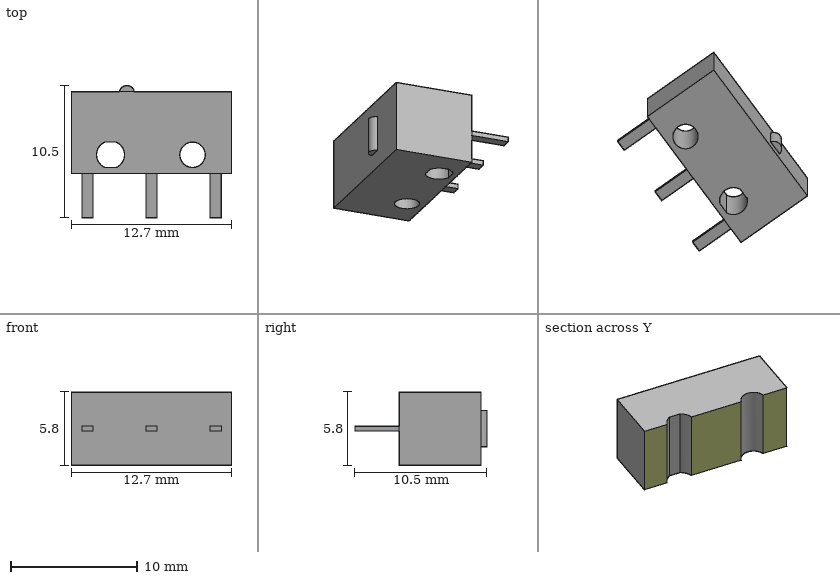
import cadquery as cq

housing_length = 12.7
housing_depth = 6.5
housing_height = 5.8

hole_diameter = 2.0
wide_hole_diameter = 2.2
hole_pitch = 6.5
hole_middle_x = 0.0
hole_y = 1.5

terminal_count = 3
terminal_pitch = 5.08
terminal_width = 0.9
terminal_thickness = 0.4
terminal_length = 3.5

plunger_x = -1.95
plunger_width = 1.2
plunger_rise = 0.5
plunger_height = 2.9


def make_round_hole():
    return cq.Workplane("XY").circle(hole_diameter / 2).extrude(housing_height / 2, both=True)


def make_wide_hole():
    """Round hole cut off by two flats parallel to X."""
    round_part = cq.Workplane("XY").circle(wide_hole_diameter / 2).extrude(housing_height / 2, both=True)
    flats = cq.Workplane("XY").box(wide_hole_diameter, hole_diameter, housing_height)
    return round_part.intersect(flats)


def make_housing():
    block = cq.Workplane("XY").box(
        housing_length, housing_depth, housing_height, centered=(True, False, True)
    )
    wide_hole = make_wide_hole().translate((hole_middle_x - hole_pitch / 2, hole_y, 0))
    round_hole = make_round_hole().translate((hole_middle_x + hole_pitch / 2, hole_y, 0))
    return block.cut(wide_hole).cut(round_hole)


def make_terminal(x):
    """Flat terminal standing out of the Y = 0 face."""
    return (
        cq.Workplane("XY")
        .box(terminal_width, terminal_length, terminal_thickness)
        .translate((x, -terminal_length / 2, 0))
    )


def make_plunger():
    """Circular segment resting on the face opposite the terminals."""
    return (
        cq.Workplane("XY")
        .moveTo(plunger_x - plunger_width / 2, housing_depth)
        .threePointArc(
            (plunger_x, housing_depth + plunger_rise),
            (plunger_x + plunger_width / 2, housing_depth),
        )
        .close()
        .extrude(plunger_height / 2, both=True)
    )


housing = make_housing()
plunger = make_plunger()

first_terminal_x = -terminal_pitch * (terminal_count - 1) / 2
terminals = []
for index in range(terminal_count):
    terminal = make_terminal(first_terminal_x + index * terminal_pitch)
    terminals.append(terminal.val())

result = cq.Compound.makeCompound([housing.val(), plunger.val(), *terminals])